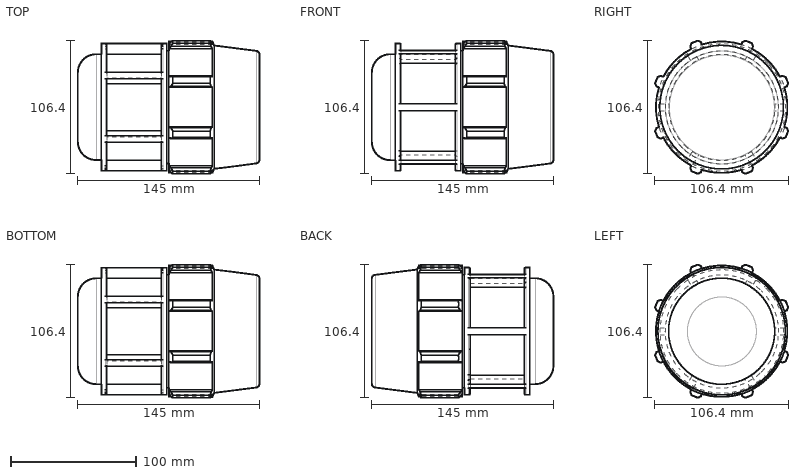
import cadquery as cq
import math

length = 145.0

barrel_radius = 84.7 / 2
dome_radius = 14.8

flange_radius = 101.6 / 2
flange_thickness = 4.5
flange_fillet = 1.3
flange_start = 18.8
flange_end = 71.0
body_rib_count = 6
body_rib_width = 5.8

neck_radius = 90.3 / 2
nut_start = 72.6

nut_radius = 52.5
nut_end = 108.8

sleeve_start_radius = 49.3
sleeve_end_radius = 44.7
sleeve_fillet = 3.2

grip_count = 8
grip_radius = 56.4
grip_half_width = 4.6
grip_top_half_width = 2.8
grip_side_radius = 54.4
grip_envelope_radius = math.hypot(grip_radius, grip_top_half_width)
grip_front_slope = 3.2
grip_rear_slope = 3.2


def disc(start, end, radius):
    """Cylinder about the X axis between two X positions."""
    return cq.Workplane("YZ", origin=(start, 0, 0)).circle(radius).extrude(end - start)


def revolved(outline):
    """Solid turned about the X axis from (position, radius) points."""
    return cq.Workplane("XY").polyline(outline).close().revolve(360, (0, 0, 0), (1, 0, 0))


def ring_of(shape, count, first_angle):
    """List of copies of a shape spaced evenly about the X axis."""
    step = 360 / count
    return [shape.rotate((0, 0, 0), (1, 0, 0), first_angle + i * step) for i in range(count)]


def make_barrel():
    """Barrel with a rounded closed end, and the neck behind it."""
    barrel = disc(0, flange_end, barrel_radius).faces("<X").edges().fillet(dome_radius)
    return barrel.union(disc(flange_end - flange_thickness, nut_start, neck_radius))


def make_flanges():
    """Pair of flanges whose facing rims are rounded."""
    front = disc(flange_start, flange_start + flange_thickness, flange_radius)
    rear = disc(flange_end - flange_thickness, flange_end, flange_radius)
    front = front.faces(">X").edges().fillet(flange_fillet)
    rear = rear.faces("<X").edges().fillet(flange_fillet)
    return front, rear


def make_body_ribs():
    """Lengthwise ribs, flush with the rims of the flanges."""
    rib = cq.Workplane("XY").box(
        flange_end - flange_start, body_rib_width, flange_radius, centered=(False, True, False)
    ).translate((flange_start, 0, 0))
    limit = disc(flange_start, flange_end, flange_radius)
    return ring_of(rib.intersect(limit), body_rib_count, 90)


def make_nut():
    """Nut with bevelled grip ribs, both trimmed by a cone at front and rear."""
    grip = (
        cq.Workplane("YZ", origin=(nut_start, 0, 0))
        .polyline([
            (-grip_half_width, 0),
            (-grip_half_width, grip_side_radius),
            (-grip_top_half_width, grip_radius),
            (grip_top_half_width, grip_radius),
            (grip_half_width, grip_side_radius),
            (grip_half_width, 0),
        ])
        .close()
        .extrude(nut_end - nut_start)
    )
    nut = disc(nut_start, nut_end, nut_radius)
    for placed_grip in ring_of(grip, grip_count, 180 / grip_count):
        nut = nut.union(placed_grip)
    envelope = revolved([
        (nut_start, 0),
        (nut_start, nut_radius),
        (nut_start + grip_front_slope, grip_envelope_radius),
        (nut_end - grip_rear_slope, grip_envelope_radius),
        (nut_end, sleeve_start_radius),
        (nut_end, 0),
    ])
    return nut.intersect(envelope)


def make_sleeve():
    """Tapered sleeve with a rounded end."""
    sleeve = revolved([
        (nut_end, 0),
        (nut_end, sleeve_start_radius),
        (length, sleeve_end_radius),
        (length, 0),
    ])
    return sleeve.faces(">X").edges().fillet(sleeve_fillet)


result = make_barrel()
for flange in make_flanges():
    result = result.union(flange)
for rib in make_body_ribs():
    result = result.union(rib)
result = result.union(make_nut()).union(make_sleeve())